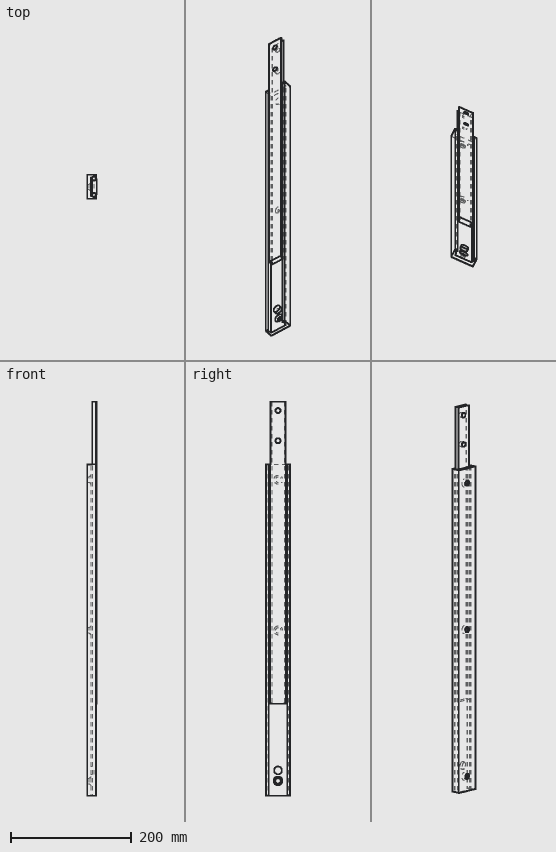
import cadquery as cq

OUTER_LENGTH = 550.0
OUTER_WIDTH = 40.0
OUTER_DEPTH = 15.0
FLOOR_THICKNESS = 6.0
CHANNEL_WIDTH = 30.0

OVERALL_HEIGHT = 654.3
INNER_LENGTH = 501.0
INNER_WIDTH = 25.4
INNER_BACK_X = 8.0
INNER_FRONT_X = 16.0
INNER_BOTTOM_Z = OVERALL_HEIGHT - INNER_LENGTH

TRACK_DIAMETER = 6.35
TRACK_X = 11.2
TRACK_Y = 13.5

OUTER_HOLE_COUNT = 3
OUTER_HOLE_DIAMETER = 9.0
OUTER_HOLE_END_DISTANCE = 25.0
OUTER_HOLE_PITCH = (OUTER_LENGTH - 2 * OUTER_HOLE_END_DISTANCE) / (OUTER_HOLE_COUNT - 1)
COUNTERSINK_DIAMETER = 14.5
COUNTERSINK_DEPTH = 3.0

INNER_HOLE_COUNT = 2
INNER_HOLE_DIAMETER = 8.0
INNER_HOLE_END_DISTANCE = 15.0
INNER_HOLE_PITCH = 50.0

STOP_DIAMETER = 13.0
STOP_HEIGHT = 5.0
STOP_Z = OUTER_LENGTH - INNER_LENGTH - STOP_DIAMETER / 2


def upright_bar(x_start, x_end, width, z_start, length):
    """A rectangular bar along Z, centred on Y = 0."""
    return (
        cq.Workplane("XY", origin=(x_start, 0, z_start))
        .rect(x_end - x_start, width, centered=(False, True))
        .extrude(length)
    )


def rod_along_x(x_start, x_end, diameter, z):
    """A round rod along X, on the centre plane Y = 0."""
    return (
        cq.Workplane("YZ", origin=(x_start, 0, z))
        .circle(diameter / 2)
        .extrude(x_end - x_start)
    )


def ball_tracks():
    """The two round spaces in which the balls run, one on each side."""
    return (
        cq.Workplane("XY")
        .pushPoints([(TRACK_X, -TRACK_Y), (TRACK_X, TRACK_Y)])
        .circle(TRACK_DIAMETER / 2)
        .extrude(OVERALL_HEIGHT)
    )


def countersunk_hole(z):
    """A hole through the channel floor that flares out on the channel side."""
    hole = rod_along_x(0, FLOOR_THICKNESS, OUTER_HOLE_DIAMETER, z)
    flare = (
        cq.Workplane("YZ", origin=(FLOOR_THICKNESS - COUNTERSINK_DEPTH, 0, z))
        .circle(OUTER_HOLE_DIAMETER / 2)
        .workplane(offset=COUNTERSINK_DEPTH)
        .circle(COUNTERSINK_DIAMETER / 2)
        .loft()
    )
    return hole.union(flare)


def make_outer_rail():
    rail = upright_bar(0, OUTER_DEPTH, OUTER_WIDTH, 0, OUTER_LENGTH)
    channel = upright_bar(FLOOR_THICKNESS, OUTER_DEPTH, CHANNEL_WIDTH, 0, OUTER_LENGTH)
    rail = rail.cut(channel).cut(ball_tracks())
    for index in range(OUTER_HOLE_COUNT):
        hole_z = OUTER_HOLE_END_DISTANCE + index * OUTER_HOLE_PITCH
        rail = rail.cut(countersunk_hole(hole_z))
    stop = rod_along_x(FLOOR_THICKNESS, FLOOR_THICKNESS + STOP_HEIGHT, STOP_DIAMETER, STOP_Z)
    return rail.union(stop)


def make_inner_rail():
    rail = upright_bar(INNER_BACK_X, INNER_FRONT_X, INNER_WIDTH, INNER_BOTTOM_Z, INNER_LENGTH)
    rail = rail.cut(ball_tracks())
    for index in range(INNER_HOLE_COUNT):
        hole_z = OVERALL_HEIGHT - INNER_HOLE_END_DISTANCE - index * INNER_HOLE_PITCH
        rail = rail.cut(rod_along_x(INNER_BACK_X, INNER_FRONT_X, INNER_HOLE_DIAMETER, hole_z))
    return rail


outer_rail = make_outer_rail()
inner_rail = make_inner_rail()
result = cq.Compound.makeCompound([outer_rail.val(), inner_rail.val()])